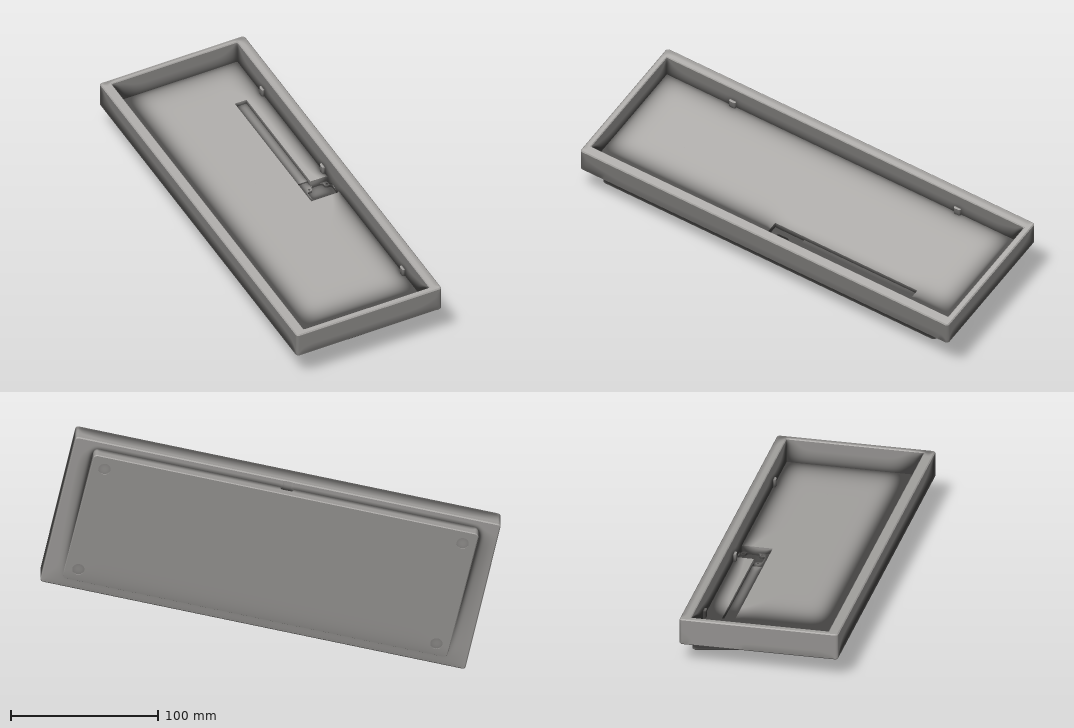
import cadquery as cq
import math

LENGTH = 295.7
DEPTH = 110.3
TRAY_HEIGHT = 19.0
TOTAL_HEIGHT = 29.3
WALL_X = 4.5
WALL_Y = 7.5
FLOOR_Z = 1.5
OUTER_CORNER_RADIUS = 2.0
OUTER_EDGE_CHAMFER = 0.75
CAVITY_CORNER_RADIUS = 0.8
RIM_CHAMFER = 0.5

FOOT_LENGTH = 268.0
FOOT_INSET = 5.5
FOOT_CORNER_RADIUS = 3.0
FOOT_EDGE_CHAMFER = 0.5

PAD_DIAMETER = 8.3
PAD_DEPTH = 0.5
PAD_INSET = 9.5

RIB_WIDTH = 5.0
RIB_REACH = 1.8
RIB_HEIGHT = 5.5
RIB_CORNER_RADIUS = 1.2
REAR_RIB_X = (-105.3, -14.8, 104.7)
FRONT_RIB_X = (-90.5, 90.2)

POCKET_LEFT = -9.5
POCKET_RIGHT = 9.2
POCKET_FRONT = 26.3
POCKET_CORNER_RADIUS = 1.5
LEDGE_DEPTH = 4.5
LEDGE_LEFT = -14.2
CHANNEL_LEFT = -105.0
CHANNEL_WIDTH = 9.0
CHANNEL_DEPTH = 3.3

BOARD_CENTER_Y = 39.5
BOARD_DEPTH = 6.2
POST_WIDTH = 4.5
POST_LENGTH = 4.7
POST_CORNER_RADIUS = 2.0
SCREW_HOLE_DIAMETER = 1.6
SCREW_HOLE_DEPTH = 2.5
SCREW_SPACING = 13.3

PORT_WIDTH = 9.0
PORT_HEIGHT = 3.8
PORT_CENTER_DEPTH = 3.3

REAR_Y = DEPTH / 2
CAVITY_REAR_Y = REAR_Y - WALL_Y
FOOT_REAR_Y = REAR_Y - FOOT_INSET
FOOT_DEPTH = 2 * FOOT_REAR_Y
FOOT_DROP = (TOTAL_HEIGHT - TRAY_HEIGHT) * FOOT_DEPTH / (FOOT_DEPTH - FOOT_EDGE_CHAMFER)
FOOT_ANGLE = math.degrees(math.atan2(FOOT_DROP, FOOT_DEPTH))
BOARD_SIZE = POCKET_RIGHT - POCKET_LEFT
BOARD_CENTER_X = (POCKET_LEFT + POCKET_RIGHT) / 2
BOARD_FLOOR_Z = FLOOR_Z - BOARD_DEPTH


def block(x_range, y_range, z_range):
    """Box spanning the given (low, high) ranges."""
    sizes = [high - low for low, high in (x_range, y_range, z_range)]
    corner = (x_range[0], y_range[0], z_range[0])
    return cq.Workplane("XY").box(*sizes, centered=False).translate(corner)


def make_tray():
    tray = cq.Workplane("XY").box(LENGTH, DEPTH, TRAY_HEIGHT, centered=(True, True, False))
    tray = tray.edges("|Z").fillet(OUTER_CORNER_RADIUS)
    return tray.faces("<Z or >Z").chamfer(OUTER_EDGE_CHAMFER)


def make_foot():
    """Wedge that tapers to nothing at the front and overlaps the tray floor."""
    profile = [
        (-FOOT_REAR_Y, 0),
        (FOOT_REAR_Y, -FOOT_DROP),
        (FOOT_REAR_Y, FLOOR_Z),
        (-FOOT_REAR_Y, FLOOR_Z),
    ]
    foot = cq.Workplane("YZ").polyline(profile).close().extrude(FOOT_LENGTH / 2, both=True)
    foot = foot.edges("|Z").fillet(FOOT_CORNER_RADIUS)
    foot = foot.faces("<Z").chamfer(FOOT_EDGE_CHAMFER)
    return foot


def make_cavity():
    size = (LENGTH - 2 * WALL_X, 2 * CAVITY_REAR_Y)
    cavity = cq.Workplane("XY", origin=(0, 0, FLOOR_Z)).rect(*size).extrude(TRAY_HEIGHT - FLOOR_Z)
    cavity = cavity.edges("|Z").fillet(CAVITY_CORNER_RADIUS)
    flare = (
        cq.Workplane("XY", origin=(0, 0, TRAY_HEIGHT))
        .rect(size[0] + 2 * RIM_CHAMFER, size[1] + 2 * RIM_CHAMFER)
        .extrude(-RIM_CHAMFER, taper=45)
    )
    return cavity.union(flare)


def make_rib(x):
    """Rib on the rear wall, rooted in the wall and the floor, with its free corners rounded."""
    rib = block(
        (x - RIB_WIDTH / 2, x + RIB_WIDTH / 2),
        (CAVITY_REAR_Y - RIB_REACH, CAVITY_REAR_Y + WALL_Y / 2),
        (FLOOR_Z / 2, FLOOR_Z + RIB_HEIGHT),
    )
    return rib.edges("|Z and <Y").fillet(RIB_CORNER_RADIUS)


def make_ribs():
    ribs = cq.Workplane("XY")
    for x in REAR_RIB_X:
        ribs = ribs.add(make_rib(x))
    for x in FRONT_RIB_X:
        ribs = ribs.add(make_rib(x).mirror("XZ"))
    return ribs.combine()


def make_pocket_cut():
    front_band = (POCKET_FRONT, POCKET_FRONT + CHANNEL_WIDTH)
    channel = block((CHANNEL_LEFT, POCKET_RIGHT), front_band, (FLOOR_Z - CHANNEL_DEPTH, FLOOR_Z))
    ledge = block((LEDGE_LEFT, POCKET_RIGHT), front_band, (FLOOR_Z - LEDGE_DEPTH, FLOOR_Z))
    pocket = block(
        (POCKET_LEFT, POCKET_RIGHT), (POCKET_FRONT, CAVITY_REAR_Y), (FLOOR_Z - LEDGE_DEPTH, FLOOR_Z)
    )
    pocket = pocket.edges("|Z and >Y").fillet(POCKET_CORNER_RADIUS)
    return channel.union(ledge).union(pocket)


def make_board_cut():
    center = (BOARD_CENTER_X, BOARD_CENTER_Y, BOARD_FLOOR_Z)
    depth = BOARD_DEPTH - LEDGE_DEPTH
    plane = cq.Workplane("XY", origin=center)
    across = plane.rect(BOARD_SIZE, BOARD_SIZE - 2 * POST_LENGTH).extrude(depth)
    along = plane.rect(BOARD_SIZE - 2 * POST_WIDTH, BOARD_SIZE).extrude(depth)
    recess = across.union(along)
    recess = recess.edges("|Z").fillet(POST_CORNER_RADIUS)
    screws = (
        cq.Workplane("XY", origin=(BOARD_CENTER_X, BOARD_CENTER_Y, FLOOR_Z - LEDGE_DEPTH))
        .rect(SCREW_SPACING, SCREW_SPACING, forConstruction=True)
        .vertices()
        .circle(SCREW_HOLE_DIAMETER / 2)
        .extrude(-SCREW_HOLE_DEPTH)
    )
    return recess.union(screws)


def make_port_cut():
    """Round-ended opening from the pocket out through the rear."""
    center = (BOARD_CENTER_X, BOARD_CENTER_Y, FLOOR_Z - PORT_CENTER_DEPTH)
    plane = cq.Workplane("XZ", origin=center)
    return plane.slot2D(PORT_WIDTH, PORT_HEIGHT).extrude(BOARD_CENTER_Y - REAR_Y)


def make_pad_recesses():
    x = FOOT_LENGTH / 2 - PAD_INSET
    along = FOOT_DEPTH / 2 / math.cos(math.radians(FOOT_ANGLE)) - PAD_INSET
    pads = (
        cq.Workplane("XY")
        .pushPoints([(sx * x, sy * along) for sx in (-1, 1) for sy in (-1, 1)])
        .circle(PAD_DIAMETER / 2)
        .extrude(PAD_DEPTH)
    )
    return pads.rotate((0, 0, 0), (1, 0, 0), -FOOT_ANGLE).translate((0, 0, -FOOT_DROP / 2))


result = make_tray().union(make_foot()).cut(make_cavity()).union(make_ribs())
result = result.cut(make_pocket_cut()).cut(make_board_cut())
result = result.cut(make_port_cut()).cut(make_pad_recesses())